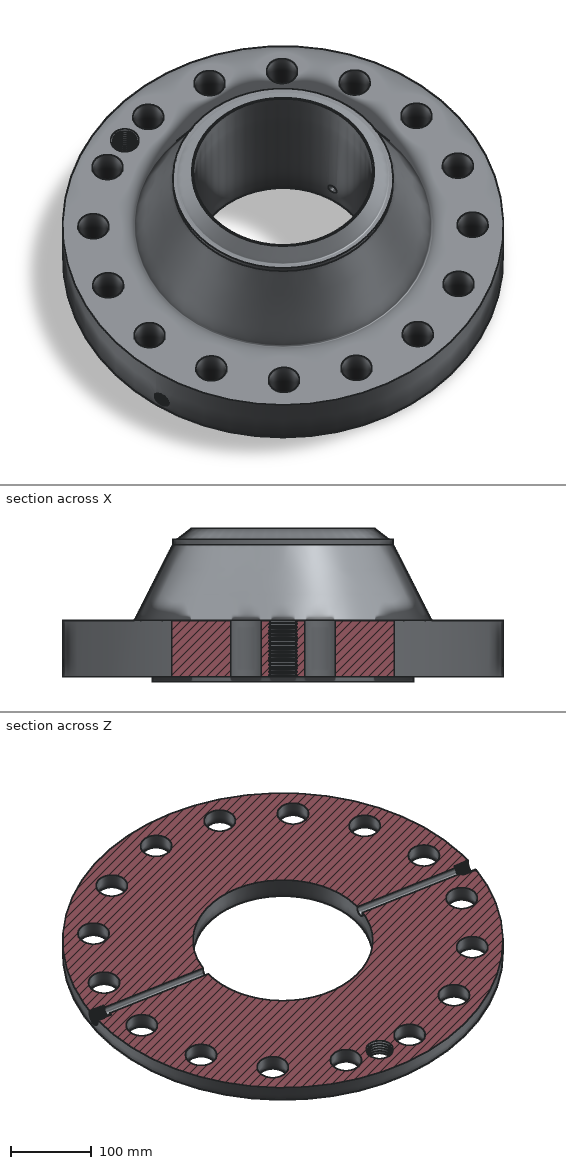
import cadquery as cq
import math

INCH = 25.4
MATCH_TOLERANCE = 0.01

flange_radius = 21.5 * INCH / 2
overall_height = 7.5 * INCH
bore_radius = 8.75 * INCH / 2

raised_face_radius = 12.75 * INCH / 2
raised_face_height = 0.25 * INCH
flange_thickness = 2.75 * INCH
flange_top = raised_face_height + flange_thickness

hub_radius = 14.5 * INCH / 2

neck_radius = 10.75 * INCH / 2
bevel_height = 13.5
neck_top = overall_height - bevel_height
neck_length = 7.0
bevel_angle = 37.5
bevel_land = 2.0
bevel_top_radius = bore_radius + bevel_land
bevel_base_radius = bevel_top_radius + bevel_height / math.tan(math.radians(bevel_angle))

root_fillet = 3.0

bolt_count = 16
bolt_circle_radius = 18.5 * INCH / 2
bolt_hole_diameter = 1.5 * INCH

unc_depth_ratio = 5 / 8 * math.cos(math.radians(30))
npt_depth_ratio = 0.8

jack_major_radius = 1.375 * INCH / 2
jack_pitch = INCH / 6
jack_thread_depth = unc_depth_ratio * jack_pitch

tap_height = 15 / 16 * INCH
tap_major_radius = 0.84 * INCH / 2
tap_pitch = INCH / 14
tap_thread_depth = npt_depth_ratio * tap_pitch
tap_thread_turns = 11
tap_taper = 1 / 32
tap_bore_diameter = 0.5 * INCH


def make_body():
    """Revolve the flange, hub and neck about the Z axis, with the bore open."""
    profile = [
        (bore_radius, 0),
        (raised_face_radius, 0),
        (raised_face_radius, raised_face_height),
        (flange_radius, raised_face_height),
        (flange_radius, flange_top),
        (hub_radius, flange_top),
        (neck_radius, neck_top - neck_length),
        (neck_radius, neck_top),
        (bevel_base_radius, neck_top),
        (bevel_top_radius, overall_height),
        (bore_radius, overall_height),
    ]
    body = cq.Workplane("XZ").polyline(profile).close().revolve(360, (0, 0), (0, 1))
    for corner_radius, corner_height in ((hub_radius, flange_top), (bevel_base_radius, neck_top)):
        root = body.edges("%CIRCLE").filter(
            lambda edge: math.isclose(edge.radius(), corner_radius, abs_tol=MATCH_TOLERANCE)
            and math.isclose(edge.Center().z, corner_height, abs_tol=MATCH_TOLERANCE)
        )
        body = root.fillet(root_fillet)
    return body


def make_threaded_plug(major_radius, pitch, thread_depth, turns, taper=0.0):
    """Solid filling a threaded hole: mouth on Z = 0, running down to -Z."""
    points = [(0, 0)]
    for turn in range(turns):
        root_depth = turn * pitch
        crest_depth = root_depth + pitch / 2
        points.append((major_radius - taper * root_depth, -root_depth))
        points.append((major_radius - thread_depth - taper * crest_depth, -crest_depth))
    length = turns * pitch
    points.append((major_radius - taper * length, -length))
    points.append((0, -length))
    return cq.Workplane("XZ").polyline(points).close().revolve(360, (0, 0), (0, 1))


def cut_bolt_holes(body):
    half_step = 180 / bolt_count
    bolts = (
        cq.Workplane("XY")
        .polarArray(bolt_circle_radius, half_step, 360, bolt_count)
        .circle(bolt_hole_diameter / 2)
        .extrude(flange_top)
    )
    return body.cut(bolts)


def cut_jack_screw_hole(body):
    turns = math.ceil(flange_thickness / jack_pitch)
    plug = make_threaded_plug(jack_major_radius, jack_pitch, jack_thread_depth, turns)
    return body.cut(plug.translate((-bolt_circle_radius, 0, flange_top)))


def cut_pressure_taps(body):
    plug = make_threaded_plug(
        tap_major_radius, tap_pitch, tap_thread_depth, tap_thread_turns, tap_taper
    )
    drill = cq.Workplane("XY").circle(tap_bore_diameter / 2).extrude(-flange_radius)
    tool = plug.union(drill).rotate((0, 0, 0), (1, 0, 0), 90)
    tool = tool.translate((0, -flange_radius, tap_height))
    for angle in (0, 180):
        body = body.cut(tool.rotate((0, 0, 0), (0, 0, 1), angle))
    return body


result = make_body()
result = cut_bolt_holes(result)
result = cut_jack_screw_hole(result)
result = cut_pressure_taps(result)